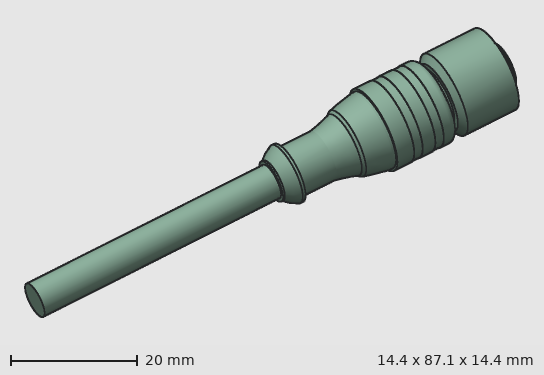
import cadquery as cq

total_length = 87.1

nose_chamfer = 0.35
nut_front = 1.65
nut_taper_start = 11.15
nut_back = 12.2
neck_flare_start = 12.7
boot_front = 13.1
boot_back = 24.2
upper_taper_start = 24.7
upper_taper_end = 29.2
lower_taper_start = 29.7
sleeve_front = 33.7
flange_front = 40.0
flange_rim_end = 40.5
flange_lip = 42.85
flange_back = 43.2

grip_radius = 7.2
nose_radius = 4.1
nut_back_radius = 5.9
neck_front_radius = 4.9
neck_back_radius = 5.6
upper_taper_front_radius = 6.8
upper_taper_back_radius = 5.8
lower_taper_radius = 5.4
sleeve_radius = 4.35
flange_radius = 5.1
flange_back_radius = 3.6
cable_radius = 3.0

boot_edge_round = 1.05
taper_bulge = 0.1
flange_bulge = 0.2

groove_starts = (15.6, 19.5)
groove_width = 1.6
groove_depth = 0.08


def at(radius, station):
    """Profile point at a radius and a distance back from the nose tip."""
    return (radius, total_length - station)


def mid(start, end, bulge):
    """Middle of an arc between two profile points, pushed outward by bulge."""
    return ((start[0] + end[0]) / 2 + bulge, (start[1] + end[1]) / 2)


def revolve_profile(profile):
    return profile.close().revolve(360, (0, 0, 0), (0, 1, 0))


def make_plug():
    """Nose, coupling nut and the neck behind it."""
    profile = (
        cq.Workplane("XY")
        .moveTo(*at(0, 0))
        .lineTo(*at(nose_radius - nose_chamfer, 0))
        .lineTo(*at(nose_radius, nose_chamfer))
        .lineTo(*at(nose_radius, nut_front))
        .lineTo(*at(grip_radius, nut_front))
        .lineTo(*at(grip_radius, nut_taper_start))
        .lineTo(*at(nut_back_radius, nut_back))
        .lineTo(*at(neck_front_radius, nut_back))
        .lineTo(*at(neck_front_radius, neck_flare_start))
        .lineTo(*at(neck_back_radius, boot_front))
        .lineTo(*at(0, boot_front))
    )
    return revolve_profile(profile)


def make_boot():
    """Moulded grip with its two tapers, sleeve and end flange."""
    upper_start = at(upper_taper_front_radius, upper_taper_start)
    upper_end = at(upper_taper_back_radius, upper_taper_end)
    lower_start = at(lower_taper_radius, lower_taper_start)
    lower_end = at(sleeve_radius, sleeve_front)
    flange_start = at(flange_radius, flange_rim_end)
    flange_end = at(flange_back_radius, flange_lip)
    profile = (
        cq.Workplane("XY")
        .moveTo(*at(0, boot_front))
        .lineTo(*at(grip_radius - boot_edge_round, boot_front))
        .radiusArc(at(grip_radius, boot_front + boot_edge_round), boot_edge_round)
        .lineTo(*at(grip_radius, boot_back))
        .lineTo(*at(upper_taper_front_radius, boot_back))
        .lineTo(*upper_start)
        .threePointArc(mid(upper_start, upper_end, taper_bulge), upper_end)
        .lineTo(*lower_start)
        .threePointArc(mid(lower_start, lower_end, -taper_bulge), lower_end)
        .lineTo(*at(sleeve_radius, flange_front))
        .lineTo(*at(flange_radius, flange_front))
        .lineTo(*flange_start)
        .threePointArc(mid(flange_start, flange_end, flange_bulge), flange_end)
        .lineTo(*at(flange_back_radius, flange_back))
        .lineTo(*at(0, flange_back))
    )
    return revolve_profile(profile)


def make_cable():
    profile = (
        cq.Workplane("XY")
        .moveTo(*at(0, flange_back))
        .lineTo(*at(cable_radius, flange_back))
        .lineTo(*at(cable_radius, total_length))
        .lineTo(*at(0, total_length))
    )
    return revolve_profile(profile)


def make_groove(start):
    """Ring of material to cut from the grip."""
    bottom_radius = grip_radius - groove_depth
    outer_radius = grip_radius + groove_depth
    profile = (
        cq.Workplane("XY")
        .moveTo(*at(bottom_radius, start))
        .lineTo(*at(outer_radius, start))
        .lineTo(*at(outer_radius, start + groove_width))
        .lineTo(*at(bottom_radius, start + groove_width))
    )
    return revolve_profile(profile)


boot = make_boot()
for groove_start in groove_starts:
    boot = boot.cut(make_groove(groove_start))

result = make_plug().union(boot).union(make_cable())